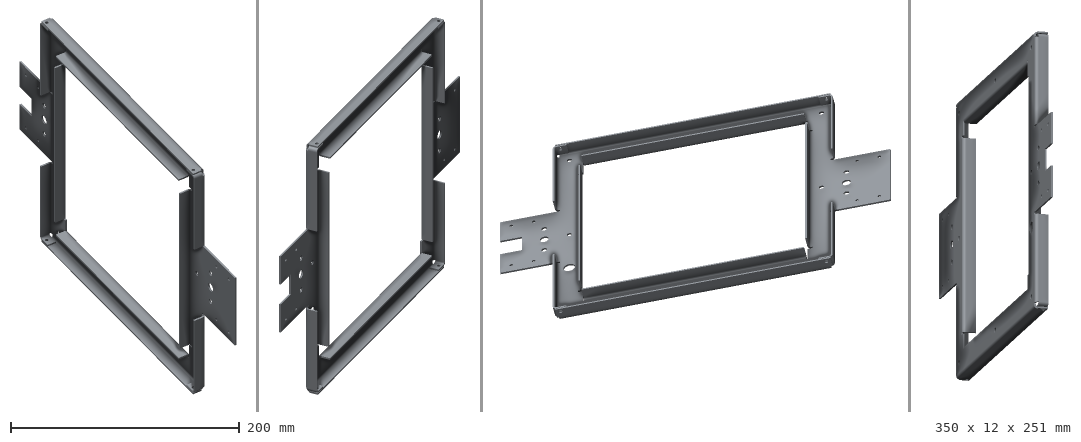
import cadquery as cq
import math

arc_mid_factor = math.sqrt(0.5)

thickness = 1.6
inner_bend_radius = 1.6
outer_bend_radius = thickness + inner_bend_radius
sheet_depth = 12.0
slit_width = 2.0
slit_overrun = 1.0

frame_width = 251.0
opening_width = 201.7
rim_hole_offset = 113.0
frame_half = frame_width / 2
opening_half = opening_width / 2
bend_allowance = outer_bend_radius + slit_overrun
plate_half = frame_half - bend_allowance
opening_plate_half = opening_half + bend_allowance

overall_width = 350.0
wing_tip = overall_width / 2
wing_half_height = 38.5
notch_depth = 19.5
notch_height = 20.0

inner_side_flange_half = 88.0
inner_end_gap = 1.0
inner_end_flange_half = opening_half - inner_end_gap

tab_gap = 0.4
tab_outer_z = frame_half - thickness - tab_gap
corner_tangent_z = tab_outer_z - outer_bend_radius
tab_end_x = 113.0
end_wall_inset = 2.0
end_bend_overhang = 0.5
end_wall_half = frame_half - end_wall_inset
end_bend_half = plate_half + end_bend_overhang

rim_hole_diameter = 4.5
wing_bolt_diameter = 5.0
wing_bolt_offset_z = 16.0
wing_bore_diameter = 8.0
wing_bore_x = 135.5
wing_pin_diameter = 3.0
wing_pin_columns = (145.0, 165.0)
wing_pin_z = 30.0
cable_hole_diameter = 10.3
cable_hole_z = -50.0
tab_screw_diameter = 3.3
tab_thread_diameter = 3.0
tab_screw_x = 119.2
tab_screw_y = -9.0


def sheet(x_min, x_max, z_min, z_max):
    """Flat piece of the plate."""
    return cq.Workplane("XY").box(
        x_max - x_min, thickness, z_max - z_min, centered=False
    ).translate((x_min, -thickness, z_min))


def bent_strip(wall, outward, start, end, angle):
    """Flat edge, bend and flange, extruded along Z and turned about Y.

    wall is the distance of the outer flange face from the Y axis; outward is 1 when
    the flat edge lies towards the axis and -1 when it lies away from it.
    """
    bend_center = wall - outward * outer_bend_radius
    flat_edge = wall - outward * bend_allowance
    inner_face = wall - outward * thickness
    outer_mid = outward * outer_bend_radius * arc_mid_factor
    inner_mid = outward * inner_bend_radius * arc_mid_factor
    strip = (
        cq.Workplane("XY")
        .moveTo(flat_edge, 0)
        .lineTo(bend_center, 0)
        .threePointArc(
            (bend_center + outer_mid, abs(outer_mid) - outer_bend_radius),
            (wall, -outer_bend_radius),
        )
        .lineTo(wall, -sheet_depth)
        .lineTo(inner_face, -sheet_depth)
        .lineTo(inner_face, -outer_bend_radius)
        .threePointArc(
            (bend_center + inner_mid, abs(inner_mid) - outer_bend_radius),
            (bend_center, -thickness),
        )
        .lineTo(flat_edge, -thickness)
        .close()
        .extrude(end - start)
        .translate((0, 0, start))
    )
    return strip.rotate((0, 0, 0), (0, 1, 0), angle)


def plate():
    """Square ring with the two wings and the notch in the left wing."""
    body = sheet(-plate_half, plate_half, -plate_half, plate_half)
    body = body.union(sheet(-wing_tip, wing_tip, -wing_half_height, wing_half_height))
    side_cut_half = inner_side_flange_half + slit_width
    body = body.cut(sheet(-opening_half, opening_half, -opening_plate_half, opening_plate_half))
    body = body.cut(sheet(-opening_plate_half, opening_plate_half, -side_cut_half, side_cut_half))
    return body.cut(
        sheet(-wing_tip, notch_depth - wing_tip, -notch_height / 2, notch_height / 2)
    )


def side_flanges():
    """Outer flanges on the left and right, interrupted by the wings."""
    start = wing_half_height + slit_width
    body = cq.Workplane("XY")
    for angle in (0, 180):
        body = body.union(bent_strip(frame_half, 1, start, corner_tangent_z, angle))
        body = body.union(bent_strip(frame_half, 1, -corner_tangent_z, -start, angle))
    return body


def end_flanges():
    """Outer flanges on the top and bottom; the walls reach past the bends."""
    wall_height = sheet_depth - outer_bend_radius
    body = cq.Workplane("XY")
    for angle in (90, -90):
        body = body.union(bent_strip(frame_half, 1, -end_bend_half, end_bend_half, angle))
    for side in (-1, 1):
        wall = cq.Workplane("XY").box(2 * end_wall_half, wall_height, thickness).translate(
            (0, -outer_bend_radius - wall_height / 2, side * (frame_half - thickness / 2))
        )
        body = body.union(wall)
    return body


def inner_flanges():
    """Flanges round the opening."""
    body = cq.Workplane("XY")
    for angle in (0, 90, 180, -90):
        half = inner_side_flange_half if angle in (0, 180) else inner_end_flange_half
        body = body.union(bent_strip(opening_half, -1, -half, half, angle))
    return body


def corner_tabs():
    """Rounded corners with tabs, one built at +X +Z and mirrored to all four."""
    bend_x = frame_half - outer_bend_radius
    tab_inner_z = tab_outer_z - thickness
    outer_mid = outer_bend_radius * arc_mid_factor
    inner_mid = inner_bend_radius * arc_mid_factor
    tab = (
        cq.Workplane("XZ", origin=(0, -outer_bend_radius, 0))
        .moveTo(frame_half, corner_tangent_z)
        .threePointArc((bend_x + outer_mid, corner_tangent_z + outer_mid), (bend_x, tab_outer_z))
        .lineTo(tab_end_x, tab_outer_z)
        .lineTo(tab_end_x, tab_inner_z)
        .lineTo(bend_x, tab_inner_z)
        .threePointArc(
            (bend_x + inner_mid, corner_tangent_z + inner_mid),
            (frame_half - thickness, corner_tangent_z),
        )
        .close()
        .extrude(sheet_depth - outer_bend_radius)
    )
    pair = tab.union(tab.mirror("YZ"))
    return pair.union(pair.mirror("XY"))


def plate_holes(points, diameter):
    """Cutters through the plate at (x, z) points."""
    return (
        cq.Workplane("XZ").pushPoints(points).circle(diameter / 2).extrude(thickness)
    )


def cut_plate_holes(body):
    """Rim holes, wing holes and the single cable hole."""
    rim = (-rim_hole_offset, 0, rim_hole_offset)
    rim_points = [(x, z) for x in rim for z in rim if (x, z) != (0, 0)]
    body = body.cut(plate_holes(rim_points, rim_hole_diameter))
    for side in (-1, 1):
        bore_x = side * wing_bore_x
        bolts = [(bore_x, wing_bolt_offset_z), (bore_x, -wing_bolt_offset_z)]
        pins = [(side * x, z) for x in wing_pin_columns for z in (-wing_pin_z, wing_pin_z)]
        body = body.cut(plate_holes([(bore_x, 0)], wing_bore_diameter))
        body = body.cut(plate_holes(bolts, wing_bolt_diameter))
        body = body.cut(plate_holes(pins, wing_pin_diameter))
    return body.cut(plate_holes([(-rim_hole_offset, cable_hole_z)], cable_hole_diameter))


def cut_tab_screw_holes(body):
    """Clearance hole through each end flange and a smaller hole in the tab behind it."""
    points = [(-tab_screw_x, tab_screw_y), (tab_screw_x, tab_screw_y)]
    threads = (
        cq.Workplane("XY").pushPoints(points).circle(tab_thread_diameter / 2)
        .extrude(frame_half, both=True)
    )
    body = body.cut(threads)
    for side in (-1, 1):
        clearance = (
            cq.Workplane("XY", origin=(0, 0, side * frame_half)).pushPoints(points)
            .circle(tab_screw_diameter / 2).extrude(-side * thickness)
        )
        body = body.cut(clearance)
    return body


result = plate()
for feature in (side_flanges(), end_flanges(), inner_flanges(), corner_tabs()):
    result = result.union(feature)
result = cut_plate_holes(result)
result = cut_tab_screw_holes(result)